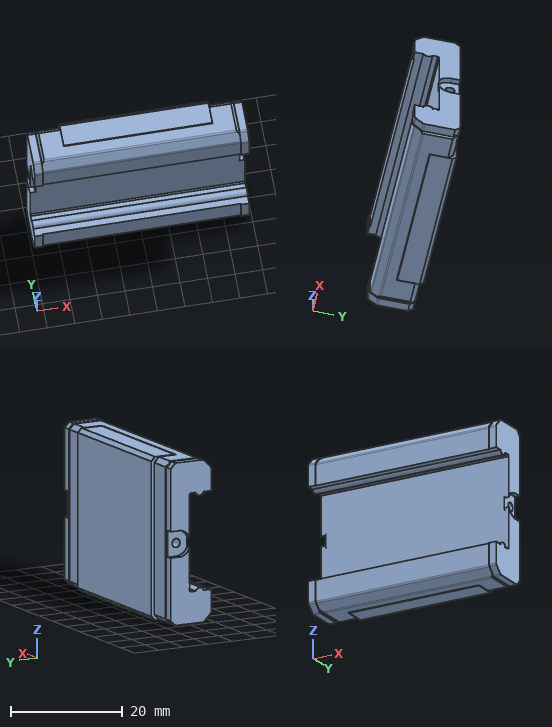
import cadquery as cq

length = 39.0
height = 30.0
total_thickness = 9.0
body_thickness = 8.4

floor_y = 4.5
leg_height = 5.95
channel_half_height = height / 2 - leg_height
channel_corner = 0.27

bead_diameter = 1.87
bead_height = 0.6
bead_y = 2.4

front_chamfer = 1.6
front_corner_radius = 0.5
back_chamfer = 0.98

cap_length = 1.52
middle_length = length - 2 * cap_length
middle_setback = 0.2
middle_bevel = 0.5

plate_length = 27.03
plate_depth = 5.0
plate_chamfer = 0.78
plate_rise = 0.098
body_height = height - 2 * plate_rise

notch_depth = 0.98
notch_radius = 2.4
hole_diameter = 1.6
hole_depth = 5.0
hole_y = 6.7


def box_between(box_length, y_front, y_back, z_size):
    """Box centred on X and Z, running from y_front to y_back."""
    depth = y_back - y_front
    return cq.Workplane("XY").box(box_length, depth, z_size).translate((0, y_front + depth / 2, 0))


def outer_block(block_length, y_front):
    """Solid block with chamfered long edges and softened front corners."""
    block = box_between(block_length, y_front, body_thickness, body_height)
    block = block.edges("|X and >Y").chamfer(back_chamfer)
    block = block.edges("|X and <Y").chamfer(front_chamfer)
    slope_middle_y = y_front + front_chamfer / 2
    near_slopes = cq.selectors.BoxSelector(
        (-length, slope_middle_y - front_chamfer, -height),
        (length, slope_middle_y + front_chamfer, height),
    )
    return block.edges("|X").edges(near_slopes).fillet(front_corner_radius)


def middle_block():
    """Block between the caps, bevelled at both ends along its top, back and bottom."""
    bevel_limit = box_between(middle_length, 0, body_thickness, body_height)
    bevel_limit = bevel_limit.faces("<X or >X").edges("|Y or >Y").chamfer(middle_bevel)
    return outer_block(middle_length, middle_setback).intersect(bevel_limit)


def end_caps():
    """Slice of the full profile at each end."""
    gap = box_between(middle_length, -total_thickness, 2 * total_thickness, 2 * height)
    return outer_block(length, 0).cut(gap)


def back_plate():
    """Chamfered plate standing proud of the back, its thin front edges ramped down to the body."""
    plate = box_between(plate_length, total_thickness - plate_depth, total_thickness, height)
    plate = plate.edges("|X and >Y").chamfer(plate_chamfer)
    return plate.edges("|X and <Y").chamfer(plate_rise)


def channel():
    """Full-length channel with small corner chamfers at its floor."""
    opening = box_between(2 * length, -floor_y, floor_y, 2 * channel_half_height)
    return opening.edges("|X and >Y").chamfer(channel_corner)


def bead(side):
    """Round rod sunk into the inner face of one leg (side is +1 or -1)."""
    center_z = side * (channel_half_height - bead_height + bead_diameter / 2)
    rod = cq.Workplane("YZ").center(bead_y, center_z).circle(bead_diameter / 2)
    return rod.extrude(length / 2, both=True)


def end_notch(side):
    """Round-nosed notch in one end, open at the back, with a blind hole in its floor."""
    notch_floor = cq.Plane.YZ(origin=(side * (length / 2 - notch_depth), hole_y, 0))
    outward = side * 2 * notch_depth
    run_out = total_thickness - hole_y
    nose = cq.Workplane(notch_floor).circle(notch_radius).extrude(outward)
    throat = cq.Workplane(notch_floor).center(run_out / 2, 0).rect(run_out, 2 * notch_radius)
    hole = cq.Workplane(notch_floor).circle(hole_diameter / 2).extrude(-side * hole_depth)
    return nose.union(throat.extrude(outward)).union(hole)


result = middle_block().union(end_caps()).union(back_plate()).cut(channel())
for side in (1, -1):
    result = result.union(bead(side)).cut(end_notch(side))